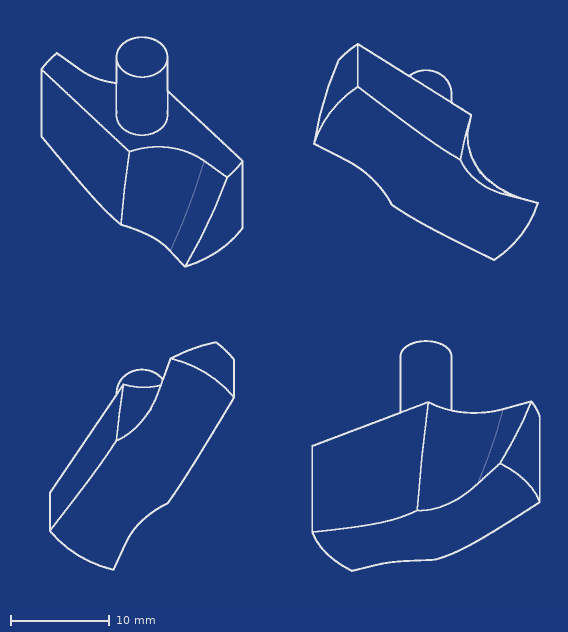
import cadquery as cq
import math

total_height = 24.0
shank_diameter = 5.2
body_diameter = 23.7
blade_thickness = 8.06
shoulder_height = 14.52
point_height = 3.58

flute_twist = 33.6

wall_start = (8.6, 1.03)
wall_rise_angle = 7.6
flute_radius = 6.9
flute_clearance = 4.8


def make_blade():
    """Round body with a conical point, flattened to the blade thickness."""
    radius = body_diameter / 2
    pointed_body = (
        cq.Workplane("XZ")
        .polyline([(0, 0), (radius, point_height), (radius, shoulder_height), (0, shoulder_height)])
        .close()
        .revolve(360, (0, 0), (0, 1))
    )
    slab = cq.Workplane("XY").box(
        body_diameter, blade_thickness, shoulder_height, centered=(True, True, False)
    )
    return pointed_body.intersect(slab)


def make_flute():
    """Twisted cutter: a hollow arc running tangent into a straight outer wall."""
    wall_angle = math.radians(wall_rise_angle)
    wall_x, wall_y = wall_start
    center_x = wall_x + flute_radius * math.sin(wall_angle)
    center_y = wall_y - flute_radius * math.cos(wall_angle)

    arc_start = (center_x - flute_radius, center_y)
    middle_angle = (math.pi + math.pi / 2 + wall_angle) / 2
    arc_middle = (
        center_x + flute_radius * math.cos(middle_angle),
        center_y + flute_radius * math.sin(middle_angle),
    )

    outer_x = body_diameter / 2 + flute_clearance
    outer_y = -blade_thickness / 2 - flute_clearance
    wall_end = (outer_x, wall_y + (outer_x - wall_x) * math.tan(wall_angle))
    return (
        cq.Workplane("XY")
        .moveTo(arc_start[0], outer_y)
        .lineTo(*arc_start)
        .threePointArc(arc_middle, wall_start)
        .lineTo(*wall_end)
        .lineTo(outer_x, outer_y)
        .close()
        .twistExtrude(shoulder_height, flute_twist)
        .rotate((0, 0, 0), (0, 0, 1), -flute_twist)
    )


def make_shank():
    return (
        cq.Workplane("XY", origin=(0, 0, shoulder_height))
        .circle(shank_diameter / 2)
        .extrude(total_height - shoulder_height)
    )


blade = make_blade()
flute = make_flute()
for turn in (0, 180):
    blade = blade.cut(flute.rotate((0, 0, 0), (0, 0, 1), turn))

result = blade.union(make_shank())